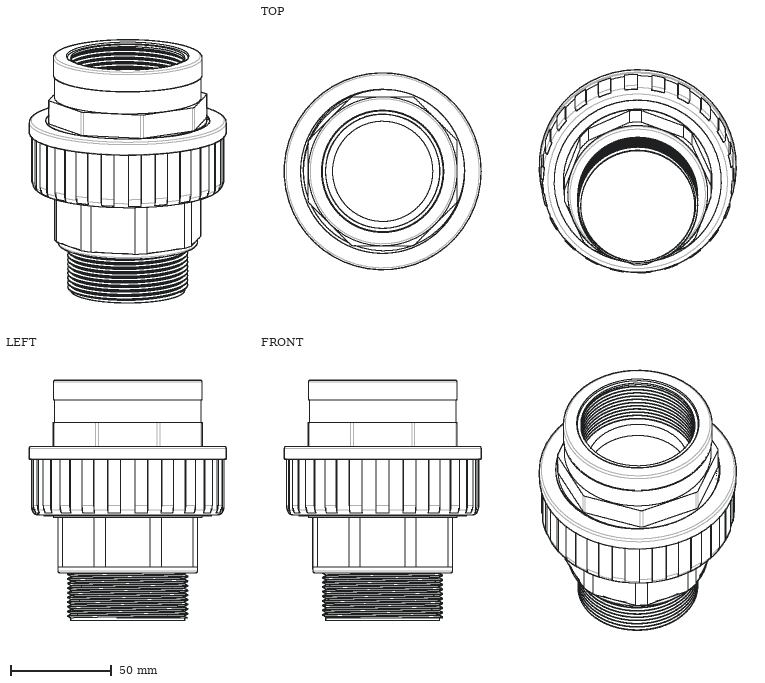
import cadquery as cq
import math


THREAD_PITCH = 25.4 / 11
THREAD_DEPTH = 1.475
THREAD_CREST_WIDTH = THREAD_PITCH / 6
THREAD_FLANK_ANGLE = 27.5
THREAD_START_ANGLE = 40
THREAD_EMBED = 0.2
END_THREAD_MINOR_R = 56.66 / 2
UNION_THREAD_MINOR_R = 78.58 / 2
UNION_THREAD_MAJOR_R = UNION_THREAD_MINOR_R + THREAD_DEPTH

TOTAL_HEIGHT = 119.4
MALE_THREAD_START_Z = 1.4
MALE_BASE_Z = 23.6
MALE_OCTAGON_Z = 26.7
MALE_NECK_Z = 51.1
NUT_RIM_Z = 52.0
NUT_BOTTOM_Z = 52.4
NUT_LIP_TOP_Z = 57.0
JOINT_Z = 62.0
PLUG_TOP_Z = 84.5
NUT_TOP_Z = 86.5
FEMALE_SHELF_Z = 92.5
FEMALE_OCTAGON_TOP_Z = 98.3
FEMALE_COLLAR_Z = TOTAL_HEIGHT - 9.8

MALE_BASE_R = 34.75
MALE_CORNER_R = 73 / 2
MALE_NECK_R = 74 / 2
MALE_FLANGE_R = UNION_THREAD_MINOR_R
MALE_BASE_FILLET = 1.1
MALE_THREAD_TOP_Z = 25.0
MALE_THREAD_CREST_Z = MALE_BASE_Z - THREAD_PITCH / 2

FEMALE_COLLAR_R = 74 / 2
FEMALE_BARREL_R = 73 / 2
FEMALE_OCTAGON_FLATS = 74
FEMALE_OCTAGON_FILLET = 2
FEMALE_TOP_FILLET = 1.0
FEMALE_BORE_R = 49.8 / 2
ENTRY_RIM_R = 60.8 / 2
ENTRY_R = 60 / 2
ENTRY_DEPTH = 0.8
BORE_THREAD_TOP_Z = 117.5
BORE_THREAD_CREST_Z = 118.35
UNION_THREAD_BOTTOM_Z = 74.0
UNION_THREAD_CREST_Z = NUT_TOP_Z - THREAD_PITCH / 8

NUT_FLANGE_R = 97.9 / 2
NUT_FLANGE_HEIGHT = 6.5
NUT_FLANGE_TOP_FILLET = 1.0
NUT_FLANGE_BOTTOM_FILLET = 0.4
NUT_BODY_R = 47.2
NUT_BODY_FILLET = 2.6
NUT_RIM_R = 41.5
RIB_COUNT = 22
RIB_R = 47.9
RIB_ANGLE = 7.8
RIB_INNER_R = NUT_BODY_R - 2
RIB_BOTTOM_Z = 53.5
RIB_CURVE_START_Z = 57.2
RIB_CURVE_RADIUS = 7.0


def cylinder(radius, bottom, top):
    return cq.Workplane("XY").workplane(offset=bottom).circle(radius).extrude(top - bottom)


def octagon(across_flats, bottom, top):
    """Octagonal prism with one flat facing each of the X and Y directions."""
    corner_diameter = across_flats / math.cos(math.pi / 8)
    prism = cq.Workplane("XY").workplane(offset=bottom).polygon(8, corner_diameter).extrude(top - bottom)
    return prism.rotate((0, 0, 0), (0, 0, 1), 22.5)


def thread_ridge(minor_radius, bottom, top, crest_z):
    """Right-handed helical ridge, cut flat at both ends; a crest crosses the XZ plane, X > 0, at crest_z."""
    base_radius = minor_radius - THREAD_EMBED
    major_radius = minor_radius + THREAD_DEPTH
    crest_half = THREAD_CREST_WIDTH / 2
    base_half = crest_half + (THREAD_DEPTH + THREAD_EMBED) * math.tan(math.radians(THREAD_FLANK_ANGLE))
    turns_below = math.ceil((crest_z - bottom) / THREAD_PITCH) + 1
    turns_above = math.ceil((top - crest_z) / THREAD_PITCH) + 1
    height = (turns_below + turns_above) * THREAD_PITCH
    helix = cq.Wire.makeHelix(THREAD_PITCH, height, minor_radius)
    ridge = (
        cq.Workplane("XZ")
        .moveTo(base_radius, -base_half)
        .lineTo(major_radius, -crest_half)
        .lineTo(major_radius, crest_half)
        .lineTo(base_radius, base_half)
        .close()
        .sweep(cq.Workplane(obj=helix), isFrenet=True)
        .translate((0, 0, crest_z + THREAD_PITCH * (THREAD_START_ANGLE / 360 - turns_below)))
        .rotate((0, 0, 0), (0, 0, 1), THREAD_START_ANGLE)
    )
    return ridge.intersect(cylinder(major_radius + 1, bottom, top))


def make_male_end():
    thread_core = cylinder(END_THREAD_MINOR_R, 0, MALE_OCTAGON_Z)
    thread = thread_ridge(END_THREAD_MINOR_R, MALE_THREAD_START_Z, MALE_THREAD_TOP_Z, MALE_THREAD_CREST_Z)
    base = cylinder(MALE_BASE_R, MALE_BASE_Z, MALE_OCTAGON_Z).faces("<Z").edges().fillet(MALE_BASE_FILLET)
    corners = cylinder(MALE_CORNER_R, MALE_OCTAGON_Z, MALE_NECK_Z)
    grip = octagon(2 * MALE_BASE_R, MALE_OCTAGON_Z, MALE_NECK_Z).intersect(corners)
    neck = cylinder(MALE_NECK_R, MALE_NECK_Z, NUT_LIP_TOP_Z)
    flange = cylinder(MALE_FLANGE_R, NUT_LIP_TOP_Z, JOINT_Z)
    shank = thread_core.union(thread)
    return base.union(grip).union(neck).union(flange).union(shank)


def make_female_end():
    union_core = cylinder(UNION_THREAD_MINOR_R, JOINT_Z, NUT_TOP_Z)
    union_thread = thread_ridge(UNION_THREAD_MINOR_R, UNION_THREAD_BOTTOM_Z, NUT_TOP_Z, UNION_THREAD_CREST_Z)
    grip = octagon(FEMALE_OCTAGON_FLATS, NUT_TOP_Z, FEMALE_OCTAGON_TOP_Z)
    grip = grip.edges("|Z").fillet(FEMALE_OCTAGON_FILLET)
    barrel = cylinder(FEMALE_BARREL_R, FEMALE_OCTAGON_TOP_Z, FEMALE_COLLAR_Z)
    collar = cylinder(FEMALE_COLLAR_R, FEMALE_COLLAR_Z, TOTAL_HEIGHT)
    collar = collar.faces(">Z").edges().fillet(FEMALE_TOP_FILLET)
    body = union_core.union(grip).union(barrel).union(collar)

    bore = cylinder(FEMALE_BORE_R, JOINT_Z, FEMALE_SHELF_Z)
    threaded_bore = cylinder(END_THREAD_MINOR_R, FEMALE_SHELF_Z, TOTAL_HEIGHT)
    bore_thread = thread_ridge(END_THREAD_MINOR_R, FEMALE_SHELF_Z, BORE_THREAD_TOP_Z, BORE_THREAD_CREST_Z)
    entry = (
        cq.Workplane("XZ")
        .moveTo(0, TOTAL_HEIGHT - ENTRY_DEPTH)
        .lineTo(ENTRY_R, TOTAL_HEIGHT - ENTRY_DEPTH)
        .lineTo(ENTRY_RIM_R, TOTAL_HEIGHT)
        .lineTo(0, TOTAL_HEIGHT)
        .close()
        .revolve(360, (0, 0, 0), (0, 1, 0))
    )
    return body.cut(bore).cut(threaded_bore).cut(entry).cut(bore_thread).union(union_thread)


def make_rib():
    """One grip rib centred on -Y, its lower end curving in to the nut's body."""
    curve_drop = RIB_CURVE_START_Z - RIB_BOTTOM_Z
    curve_center_r = RIB_R - RIB_CURVE_RADIUS
    curve_end_r = curve_center_r + math.sqrt(RIB_CURVE_RADIUS**2 - curve_drop**2)
    mid_angle = math.asin(curve_drop / RIB_CURVE_RADIUS) / 2
    curve_mid = (
        curve_center_r + RIB_CURVE_RADIUS * math.cos(mid_angle),
        RIB_CURVE_START_Z - RIB_CURVE_RADIUS * math.sin(mid_angle),
    )
    flange_bottom = NUT_TOP_Z - NUT_FLANGE_HEIGHT
    rib = (
        cq.Workplane("XZ")
        .moveTo(RIB_INNER_R, RIB_BOTTOM_Z)
        .lineTo(curve_end_r, RIB_BOTTOM_Z)
        .threePointArc(curve_mid, (RIB_R, RIB_CURVE_START_Z))
        .lineTo(RIB_R, flange_bottom + NUT_FLANGE_BOTTOM_FILLET)
        .lineTo(RIB_INNER_R, flange_bottom + NUT_FLANGE_BOTTOM_FILLET)
        .close()
        .revolve(RIB_ANGLE, (0, 0, 0), (0, 1, 0))
    )
    center = rib.val().Center()
    return rib.rotate((0, 0, 0), (0, 0, 1), -90 - math.degrees(math.atan2(center.y, center.x)))


def make_nut():
    flange_bottom = NUT_TOP_Z - NUT_FLANGE_HEIGHT
    body = cylinder(NUT_BODY_R, NUT_BOTTOM_Z, NUT_TOP_Z).faces("<Z").edges().fillet(NUT_BODY_FILLET)
    flange = cylinder(NUT_FLANGE_R, flange_bottom, NUT_TOP_Z)
    flange = flange.faces(">Z").edges().fillet(NUT_FLANGE_TOP_FILLET)
    flange = flange.faces("<Z").edges().fillet(NUT_FLANGE_BOTTOM_FILLET)
    rim = cylinder(NUT_RIM_R, NUT_RIM_Z, NUT_LIP_TOP_Z)
    nut = body.union(flange).union(rim)
    rib = make_rib()
    ribs = []
    for index in range(RIB_COUNT):
        ribs.append(rib.rotate((0, 0, 0), (0, 0, 1), index * 360 / RIB_COUNT))
    nut = nut.union(cq.Workplane(obj=cq.Compound.makeCompound([rib.val() for rib in ribs])))
    lip_hole = cylinder(MALE_NECK_R, NUT_RIM_Z, NUT_LIP_TOP_Z)
    chamber = cylinder(UNION_THREAD_MAJOR_R, NUT_LIP_TOP_Z, NUT_TOP_Z)
    return nut.cut(lip_hole).cut(chamber)


def make_plug():
    return cylinder(FEMALE_BORE_R, JOINT_Z, PLUG_TOP_Z)


male_end = make_male_end()
female_end = make_female_end()
nut = make_nut()
plug = make_plug()

result = cq.Compound.makeCompound([male_end.val(), female_end.val(), nut.val(), plug.val()])